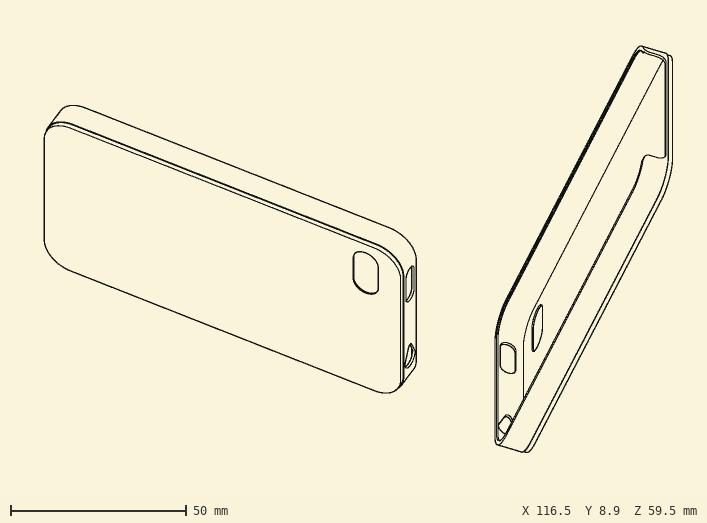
import cadquery as cq

length = 116.5
depth = 8.9
height = 59.5
corner_radius = 8.9
wall = 0.8
floor_thickness = 0.5
lip_overhang = 0.5
lip_depth = 0.5
back_y = -depth / 2
rim_y = depth / 2

back_step_inset = 0.29
back_step_depth = 1.4

opening_sill = 2.1
opening_half_height = 22.5
opening_corner_radius = 2.6
opening_flare_radius = 1.9

camera_x = 46.6
camera_z = 17.7
camera_width = 8.2
camera_height = 16.5

wall_hole_y = 0.7
slot_z = 14.3
slot_width = 4.8
slot_height = 13.0
teardrop_z = -16.4
teardrop_radius = 2.9
teardrop_tip_z = -11.5
teardrop_tip_radius = 0.9


def rounded_block(inset, y_start, y_end):
    """Block inset from the outer outline, with concentric rounded corners."""
    thickness = y_end - y_start
    return (
        cq.Workplane("XY")
        .box(length - 2 * inset, thickness, height - 2 * inset)
        .edges("|Y")
        .fillet(corner_radius - inset)
        .translate((0, (y_start + y_end) / 2, 0))
    )


def shell():
    """Thin tray with a stepped back and a small inward lip at the rim."""
    step_y = back_y + back_step_depth
    back_plate = rounded_block(back_step_inset, back_y, step_y)
    body = rounded_block(0, step_y, rim_y)
    cavity = rounded_block(wall, back_y + floor_thickness, rim_y - lip_depth)
    mouth = rounded_block(wall + lip_overhang, rim_y - lip_depth, rim_y)
    return back_plate.union(body).cut(cavity).cut(mouth)


def end_opening():
    """Cutter for the -X wall with rounded bottom corners and a mouth flared at the rim."""
    bottom_y = back_y + opening_sill
    half = opening_half_height
    corner = opening_corner_radius
    flare = opening_flare_radius
    return (
        cq.Workplane("YZ", origin=(-length / 2, 0, 0))
        .moveTo(rim_y, half + flare)
        .radiusArc((rim_y - flare, half), flare)
        .lineTo(bottom_y + corner, half)
        .radiusArc((bottom_y, half - corner), -corner)
        .lineTo(bottom_y, corner - half)
        .radiusArc((bottom_y + corner, -half), -corner)
        .lineTo(rim_y - flare, -half)
        .radiusArc((rim_y, -half - flare), flare)
        .close()
        .extrude(corner_radius)
    )


def camera_window():
    return (
        cq.Workplane("XZ", origin=(camera_x, 0, camera_z))
        .slot2D(camera_height, camera_width, 90)
        .extrude(depth, both=True)
    )


def wall_slot():
    return (
        cq.Workplane("YZ", origin=(length / 2, wall_hole_y, slot_z))
        .slot2D(slot_height, slot_width, 90)
        .extrude(2 * wall, both=True)
    )


def wall_teardrop():
    """Large and small circles joined by their common tangents."""
    spacing = teardrop_tip_z - teardrop_z
    tangent_sine = (teardrop_radius - teardrop_tip_radius) / spacing
    tangent_cosine = (1 - tangent_sine**2) ** 0.5
    base_y = teardrop_radius * tangent_cosine
    base_z = teardrop_radius * tangent_sine
    tip_y = teardrop_tip_radius * tangent_cosine
    tip_z = spacing + teardrop_tip_radius * tangent_sine
    return (
        cq.Workplane("YZ", origin=(length / 2, wall_hole_y, teardrop_z))
        .moveTo(base_y, base_z)
        .lineTo(tip_y, tip_z)
        .threePointArc((0, spacing + teardrop_tip_radius), (-tip_y, tip_z))
        .lineTo(-base_y, base_z)
        .threePointArc((0, -teardrop_radius), (base_y, base_z))
        .close()
        .extrude(2 * wall, both=True)
    )


result = (
    shell()
    .cut(end_opening())
    .cut(camera_window())
    .cut(wall_slot())
    .cut(wall_teardrop())
)